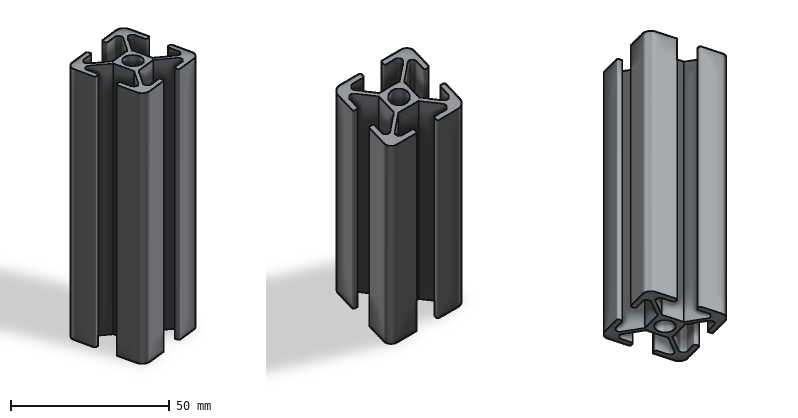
import cadquery as cq

side = 30.0
length = 100.0
corner_radius = 3.0
bore_diameter = 6.8
slot_opening = 8.0
lip_thickness = 2.0
lip_edge_radius = 0.5
core_width = 10.0
web_thickness = 1.4
slot_corner_radius = 1.5

half_side = side / 2
half_opening = slot_opening / 2
floor_y = core_width / 2
lip_y = half_side - lip_thickness
web_offset = web_thickness / 2 * 2**0.5
half_floor = floor_y - web_offset
half_cavity = lip_y - web_offset


def make_slot():
    """T-slot cutter on the +Y face: narrow mouth, trapezoidal cavity between the diagonal webs."""
    cavity = (
        cq.Workplane("XY")
        .polyline([
            (-half_floor, floor_y),
            (half_floor, floor_y),
            (half_cavity, lip_y),
            (-half_cavity, lip_y),
        ])
        .close()
        .extrude(length)
        .edges("|Z and >Y")
        .fillet(slot_corner_radius)
    )
    mouth = (
        cq.Workplane("XY")
        .center(0, half_side - lip_thickness / 2)
        .rect(slot_opening, lip_thickness)
        .extrude(length)
    )
    return cavity.union(mouth)


def round_lips(body):
    """Round the inner and outer edges of the two lips on every face."""
    lip_corners = [
        (half_opening, lip_y),
        (half_opening, half_side),
        (lip_y, half_opening),
        (half_side, half_opening),
    ]
    reach = lip_edge_radius / 2
    for x_sign in (-1, 1):
        for y_sign in (-1, 1):
            for x, y in lip_corners:
                x_edge = x_sign * x
                y_edge = y_sign * y
                box = cq.selectors.BoxSelector(
                    (x_edge - reach, y_edge - reach, 0),
                    (x_edge + reach, y_edge + reach, length),
                )
                body = body.edges("|Z").edges(box).fillet(lip_edge_radius)
    return body


result = cq.Workplane("XY").rect(side, side).extrude(length).edges("|Z").fillet(corner_radius)
result = result.cut(cq.Workplane("XY").circle(bore_diameter / 2).extrude(length))

slot = make_slot()
for face in range(4):
    result = result.cut(slot.rotate((0, 0, 0), (0, 0, 1), 90 * face))

result = round_lips(result)